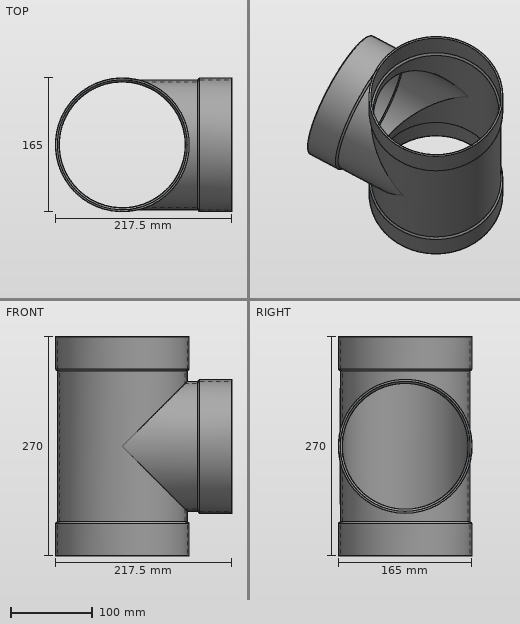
import cadquery as cq

pipe_diameter = 160.0
bore_diameter = 155.0

socket_diameter = 165.0
socket_bore_diameter = pipe_diameter
socket_depth = 40.0
step_length = 2.5

height = 270.0
overall_width = 217.5
branch_reach = overall_width - socket_diameter / 2


def half_profile(length, radius, end_radius):
    """Outer edge of one limb, from its widened open end to the foot of its cone."""
    socket_start = length - socket_depth
    return [
        (0, length),
        (end_radius, length),
        (end_radius, socket_start),
        (radius, socket_start - step_length),
    ]


def revolve_about_z(points):
    """Solid of revolution about Z from (radius, height) points."""
    return cq.Workplane("XZ").polyline(points).close().revolve(360, (0, 0, 0), (0, 1, 0))


def tee(diameter, end_diameter):
    """Vertical run and branch with a widened cylinder at every end."""
    radius = diameter / 2
    end_radius = end_diameter / 2
    upper = half_profile(height / 2, radius, end_radius)
    lower = [(r, -z) for r, z in reversed(upper)]
    run = revolve_about_z(upper + lower)
    branch = revolve_about_z(half_profile(branch_reach, radius, end_radius) + [(radius, 0), (0, 0)])
    return run.union(branch.rotate((0, 0, 0), (0, 1, 0), 90))


outer_body = tee(pipe_diameter, socket_diameter)
inner_bore = tee(bore_diameter, socket_bore_diameter)
result = outer_body.cut(inner_bore)